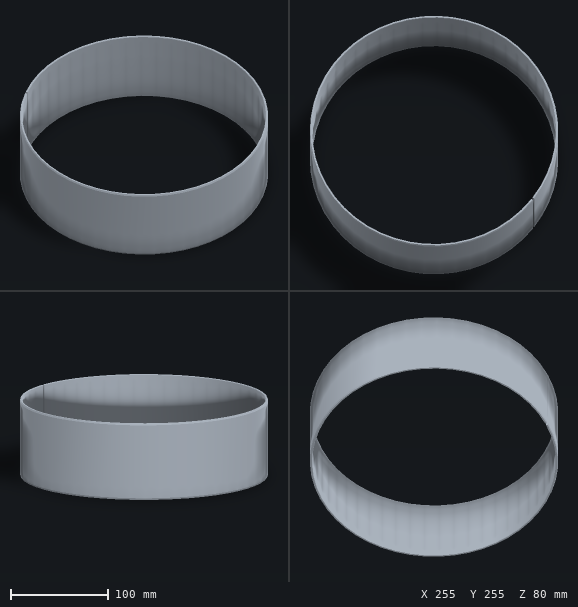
import cadquery as cq
import math

OUTER_DIAMETER = 255.0
WALL_THICKNESS = 2.5
HEIGHT = 80.0
OUTER_BEVEL_HEIGHT = 1.8
OUTER_BEVEL_ANGLE = 20.0
INNER_BEVEL_HEIGHT = 0.6
INNER_BEVEL_ANGLE = 30.0
SPLIT_ANGLE = 1.0

OUTER_BEVEL_DEPTH = OUTER_BEVEL_HEIGHT * math.tan(math.radians(OUTER_BEVEL_ANGLE))
INNER_BEVEL_DEPTH = INNER_BEVEL_HEIGHT * math.tan(math.radians(INNER_BEVEL_ANGLE))
OUTER_RADIUS = OUTER_DIAMETER / 2
INNER_RADIUS = OUTER_RADIUS - WALL_THICKNESS
RIM_OUTER_RADIUS = OUTER_RADIUS - OUTER_BEVEL_DEPTH
RIM_INNER_RADIUS = INNER_RADIUS + INNER_BEVEL_DEPTH
FULL_TURN = 360.0


def bevelled_band():
    """Thin closed band around Z, bevelled inside and outside at both rims, base on Z = 0."""
    section = [
        (RIM_INNER_RADIUS, 0),
        (RIM_OUTER_RADIUS, 0),
        (OUTER_RADIUS, OUTER_BEVEL_HEIGHT),
        (OUTER_RADIUS, HEIGHT - OUTER_BEVEL_HEIGHT),
        (RIM_OUTER_RADIUS, HEIGHT),
        (RIM_INNER_RADIUS, HEIGHT),
        (INNER_RADIUS, HEIGHT - INNER_BEVEL_HEIGHT),
        (INNER_RADIUS, INNER_BEVEL_HEIGHT),
    ]
    return cq.Workplane("XZ").polyline(section).close().revolve(FULL_TURN, (0, 0), (0, 1))


def split_cutter():
    """Full-height triangular wedge from the axis; opens the band from -X toward +Y."""
    reach = OUTER_DIAMETER
    opening = reach * math.tan(math.radians(SPLIT_ANGLE))
    return cq.Workplane("XY").polyline([(0, 0), (-reach, opening), (-reach, 0)]).close().extrude(HEIGHT)


result = bevelled_band().cut(split_cutter())